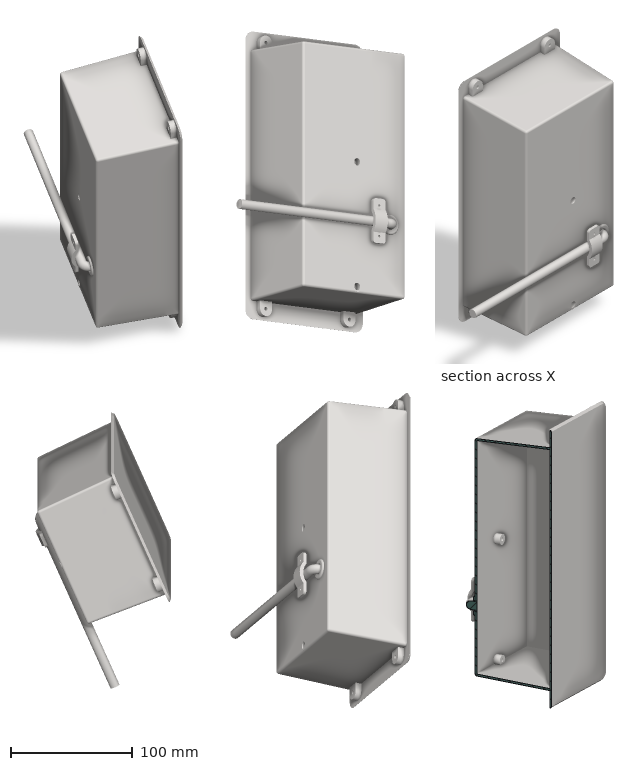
import cadquery as cq
import math


overall_width = 180.3
overall_depth = 85.04

panel_width = 119.0
panel_height = 240.0
panel_thickness = 2.0
panel_corner_radius = 8.0
panel_chamfer = 1.8

housing_width = 108.6
housing_height = 209.2
face_depth = 72.0
draft_angle = 2.0
wall = 2.0
housing_edge_radius = 2.0

ear_radius = 6.0
ear_spacing_x = 84.7
ear_spacing_z = 222.0
ear_height = 5.0
ear_hole_diameter = 3.1

face_hole_x = 3.0
face_hole_z = (7.0, -97.0)
face_hole_diameter = 3.0
counterbore_diameter = 6.0
counterbore_depth = 6.0
post_diameter = 9.0
post_length = 8.0

cable_diameter = 8.0
cable_depth = 77.8
cable_z = -42.0
cable_free_end_x = panel_width / 2 - overall_width
cable_entry_x = 36.0
elbow_radius = 5.0

grommet_diameter = 17.0
grommet_height = 1.6
grommet_outer_radius = 1.5
grommet_inner_radius = 1.5

clip_x = 18.5
clip_width = 12.4
clip_length = 37.3
clip_thickness = 2.5
clip_inner_rise = 2.7
clip_outer_chord = 19.2
clip_inner_chord = 15.8
clip_corner_radius = 2.7
clip_hole_diameter = 2.0
clip_hole_spacing = 25.6


def at_depth(depth):
    """Workplane parallel to XZ whose normal points along -Y."""
    return cq.Workplane("XZ", origin=(0, -depth, 0))


def make_panel():
    plate = at_depth(0).rect(panel_width, panel_height).extrude(panel_thickness)
    plate = plate.edges("|Y").fillet(panel_corner_radius)
    return plate.faces(">Y").edges().chamfer(panel_chamfer)


def make_ear(x, side):
    """Round-ended ear rooted in the housing wall; side is 1 at the top, -1 at the bottom."""
    tip_z = side * ear_spacing_z / 2
    root_z = side * (housing_height / 2 - wall / 2)
    ear = at_depth(panel_thickness).center(x, tip_z).circle(ear_radius).extrude(ear_height)
    stem = at_depth(panel_thickness).center(x, (tip_z + root_z) / 2)
    ear = ear.union(stem.rect(2 * ear_radius, abs(tip_z - root_z)).extrude(ear_height))
    hole = at_depth(panel_thickness).center(x, tip_z).circle(ear_hole_diameter / 2)
    return ear.cut(hole.extrude(ear_height))


def make_housing():
    depth = face_depth - panel_thickness
    box = at_depth(panel_thickness).rect(housing_width, housing_height)
    box = box.extrude(depth, taper=draft_angle)
    box = box.edges("not >Y").fillet(housing_edge_radius)
    for x in (-ear_spacing_x / 2, ear_spacing_x / 2):
        for side in (1, -1):
            box = box.union(make_ear(x, side))

    cavity = at_depth(panel_thickness).rect(housing_width - 2 * wall, housing_height - 2 * wall)
    box = box.cut(cavity.extrude(depth - wall, taper=draft_angle))

    for z in face_hole_z:
        post = at_depth(face_depth - post_length).center(face_hole_x, z).circle(post_diameter / 2)
        hole = at_depth(face_depth - post_length).center(face_hole_x, z).circle(face_hole_diameter / 2)
        recess = at_depth(face_depth - counterbore_depth).center(face_hole_x, z)
        recess = recess.circle(counterbore_diameter / 2).extrude(counterbore_depth)
        box = box.union(post.extrude(post_length)).cut(hole.extrude(post_length)).cut(recess)

    cable_hole = at_depth(face_depth - wall).center(cable_entry_x, cable_z)
    return box.cut(cable_hole.circle(cable_diameter / 2).extrude(wall))


def make_cable():
    elbow_start_x = cable_entry_x - elbow_radius
    elbow_end_depth = cable_depth - elbow_radius
    middle = elbow_radius * math.sin(math.radians(45))
    path = (
        cq.Workplane("XY", origin=(0, 0, cable_z))
        .moveTo(cable_free_end_x, -cable_depth)
        .lineTo(elbow_start_x, -cable_depth)
        .threePointArc(
            (elbow_start_x + middle, -elbow_end_depth - middle),
            (cable_entry_x, -elbow_end_depth),
        )
        .lineTo(cable_entry_x, wall - face_depth)
    )
    section = cq.Workplane("YZ", origin=(cable_free_end_x, -cable_depth, cable_z))
    return section.circle(cable_diameter / 2).sweep(path)


def make_grommet():
    bore_radius = cable_diameter / 2
    outer_radius = grommet_diameter / 2
    top_y = -grommet_height
    diagonal = 1 - math.sin(math.radians(45))
    section = (
        cq.Workplane("XY", origin=(cable_entry_x, -face_depth, cable_z))
        .moveTo(bore_radius, 0)
        .lineTo(bore_radius, top_y + grommet_inner_radius)
        .threePointArc(
            (bore_radius + diagonal * grommet_inner_radius, top_y + diagonal * grommet_inner_radius),
            (bore_radius + grommet_inner_radius, top_y),
        )
        .lineTo(outer_radius - grommet_outer_radius, top_y)
        .threePointArc(
            (outer_radius - diagonal * grommet_outer_radius, top_y + diagonal * grommet_outer_radius),
            (outer_radius, top_y + grommet_outer_radius),
        )
        .lineTo(outer_radius, 0)
        .close()
    )
    return section.revolve(360, (0, 0, 0), (0, 1, 0))


def make_clip():
    back_y = -(cable_depth + cable_diameter / 2 - clip_inner_rise)
    front_y = back_y - clip_thickness
    end_z = clip_length / 2
    clip = (
        cq.Workplane("YZ", origin=(clip_x - clip_width / 2, 0, cable_z))
        .moveTo(back_y, -end_z)
        .lineTo(back_y, -clip_inner_chord / 2)
        .threePointArc((back_y - clip_inner_rise, 0), (back_y, clip_inner_chord / 2))
        .lineTo(back_y, end_z)
        .lineTo(front_y, end_z)
        .lineTo(front_y, clip_outer_chord / 2)
        .threePointArc((-overall_depth, 0), (front_y, -clip_outer_chord / 2))
        .lineTo(front_y, -end_z)
        .close()
        .extrude(clip_width)
    )
    clip = clip.faces(">Z or <Z").edges("|Y").fillet(clip_corner_radius)
    for z_offset in (-clip_hole_spacing / 2, clip_hole_spacing / 2):
        hole = at_depth(-back_y).center(clip_x, cable_z + z_offset).circle(clip_hole_diameter / 2)
        clip = clip.cut(hole.extrude(clip_thickness))
    return clip


panel = make_panel()
housing = make_housing()
cable = make_cable()
grommet = make_grommet()
clip = make_clip()

result = cq.Compound.makeCompound(
    [panel.val(), housing.val(), cable.val(), grommet.val(), clip.val()]
)